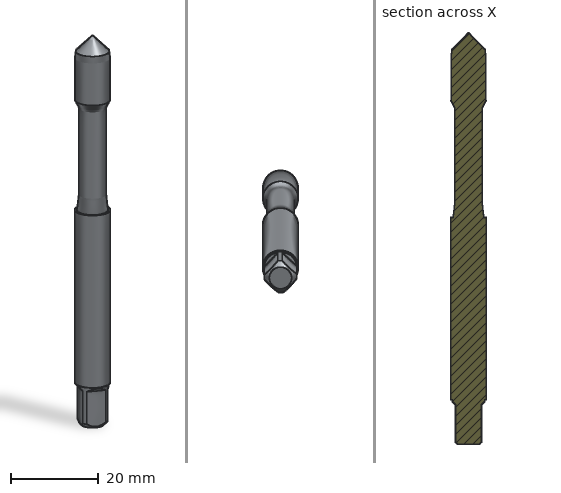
import cadquery as cq

total_length = 93.6
shank_radius = 8.1 / 2
head_radius = 8.0 / 2
tip_radius = 7.7 / 2
neck_radius = 6.3 / 2
drive_corner_radius = 3.7
drive_width = 6.0

drive_top = 10.1
shoulder_bottom = 51.55
shoulder_blend = 54.9
neck_bottom = 55.3
neck_top = 76.1
head_taper_start = 76.6
head_bottom = 78.0
head_top = 88.1
tip_height = tip_radius
tip_base = total_length - tip_height

shoulder_radius = 3.6
head_taper_radius = 3.3
blend_radius = 3.2
end_chamfer = 1.2
runout_height = 1.1


def turned_body():
    """Revolve the half profile of the tap about its Z axis."""
    profile = [
        (0, 0),
        (drive_corner_radius - end_chamfer, 0),
        (drive_corner_radius, end_chamfer),
        (drive_corner_radius, drive_top),
        (shank_radius, drive_top),
        (shank_radius, shoulder_bottom),
        (shoulder_radius, shoulder_bottom),
        (blend_radius, shoulder_blend),
        (neck_radius, neck_bottom),
        (neck_radius, neck_top),
        (head_taper_radius, head_taper_start),
        (head_radius, head_bottom),
        (head_radius, head_top),
        (tip_radius, tip_base),
        (0, total_length),
    ]
    return cq.Workplane("XZ").polyline(profile).close().revolve(360, (0, 0), (0, 1))


def drive_flat_cutter():
    """Material beside the +X flat, with a sloped run-out at its top."""
    half_width = drive_width / 2
    flat_top = drive_top - runout_height
    section = [
        (half_width, 0),
        (shank_radius, 0),
        (shank_radius, drive_top),
        (half_width, flat_top),
    ]
    return cq.Workplane("XZ").polyline(section).close().extrude(shank_radius, both=True)


result = turned_body()
for angle in (0, 90, 180, 270):
    result = result.cut(drive_flat_cutter().rotate((0, 0, 0), (0, 0, 1), angle))